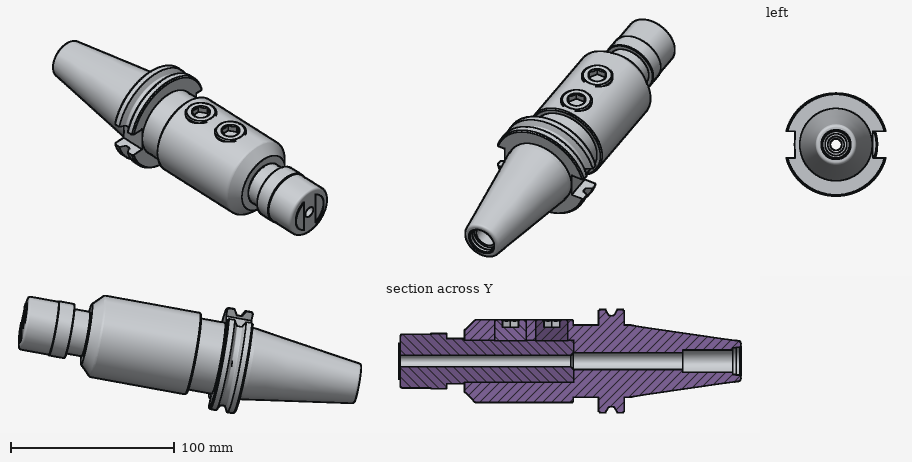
import cadquery as cq
import math


GAUGE_DIAMETER = 44.5
GAUGE_X = 68.2
TAPER_PER_LENGTH = 7 / 24
SMALL_END_DIAMETER = GAUGE_DIAMETER - GAUGE_X * TAPER_PER_LENGTH
SMALL_END_ROUND = 1.9

FLANGE_DIAMETER = 63.4
FLANGE_X = 71.5
FLANGE_WIDTH = 16.0
FLANGE_END_X = FLANGE_X + FLANGE_WIDTH
FLANGE_CHAMFER = 0.8
GROOVE_CENTRE_X = 79.5
GROOVE_DEPTH = 3.5
GROOVE_MOUTH = 7.1
GROOVE_FILLET = 0.6
GROOVE_FLANK_ANGLE = 30
GROOVE_FLOOR = GROOVE_MOUTH - 2 * GROOVE_DEPTH * math.tan(math.radians(GROOVE_FLANK_ANGLE))
SLOT_WIDTH = 16.2
DEEP_SLOT_FLOOR = 22.5
SHALLOW_SLOT_FLOOR = 25.2

BODY_DIAMETER = 51.0
BODY_X = 102.8
BODY_END_X = 169.8
BODY_END_DIAMETER = 37.8
BODY_REAR_CHAMFER = 0.8
BODY_CORNER_ROUND = 1.9
CONE_LENGTH = (BODY_DIAMETER - BODY_END_DIAMETER) / 2
CONE_X = BODY_END_X - CONE_LENGTH

MOUTH_CHAMFER = 0.6
COUNTERBORE_DIAMETER = 17.0
COUNTERBORE_DEPTH = 3.0
PILOT_DIAMETER = 16.4
PILOT_END_X = 5.0
THREAD_BORE_DIAMETER = 13.5
THREAD_BORE_END_X = 35.7
COOLANT_BORE_DIAMETER = 10.0

SHANK_DIAMETER = 25.4
SHANK_X = BODY_X
COLLAR_DIAMETER = 28.0
COLLAR_X = BODY_END_X
COLLAR_CHAMFER = 0.6
HEAD_X = 180.5
HEAD_STEP_X = 190.1
HEAD_END_X = 209.2
HEAD_REAR_DIAMETER = 34.0
HEAD_DIAMETER = 33.2
HEAD_REAR_CHAMFER = 0.5
HEAD_ROUND = 1.7
DRIVE_DIAMETER = 24.3
DRIVE_SLOT_WIDTH = 10.0
TOOL_END_X = 209.8
TOOL_BORE_DIAMETER = 7.0

SCREW_DIAMETER = 19.3
SCREW_TOP_DIAMETER = 17.5
SCREW_TOP_Z = 25.4
SCREW_CHAMFER = (SCREW_DIAMETER - SCREW_TOP_DIAMETER) / 2
SCREW_SPACING = 25.4
FIRST_SCREW_X = 116.0
SCREW_COUNT = 2
HEX_WIDTH = 9.7
HEX_CORNER_DIAMETER = HEX_WIDTH / math.cos(math.radians(30))
HEX_DEPTH = 4.6
HEX_MOUTH_DIAMETER = 11.3

SCREW_POSITIONS = [FIRST_SCREW_X + i * SCREW_SPACING for i in range(SCREW_COUNT)]


def turned(outline):
    """Solid of revolution about X from (x, radius) points, closed along the axis."""
    first_x = outline[0][0]
    last_x = outline[-1][0]
    points = [(first_x, 0)] + outline + [(last_x, 0)]
    return cq.Workplane("XY").polyline(points).close().revolve(360, (0, 0, 0), (1, 0, 0))


def cylinder(start_x, end_x, diameter):
    """Cylinder along the X axis."""
    return turned([(start_x, diameter / 2), (end_x, diameter / 2)])


def round_rims(solid, x, radius):
    """Fillet the circular edges that lie in the plane at x."""
    reach = FLANGE_DIAMETER
    margin = 0.02
    plane_box = cq.selectors.BoxSelector(
        (x - margin, -reach, -reach), (x + margin, reach, reach), boundingbox=True
    )
    return solid.edges(plane_box).fillet(radius)


def make_holder_blank():
    """Taper, necks and clamping body, without flange or holes."""
    gauge_radius = GAUGE_DIAMETER / 2
    body_radius = BODY_DIAMETER / 2
    blank = turned([
        (0, SMALL_END_DIAMETER / 2),
        (GAUGE_X, gauge_radius),
        (BODY_X, gauge_radius),
        (BODY_X, body_radius - BODY_REAR_CHAMFER),
        (BODY_X + BODY_REAR_CHAMFER, body_radius),
        (CONE_X, body_radius),
        (BODY_END_X, BODY_END_DIAMETER / 2),
    ])
    blank = round_rims(blank, 0, SMALL_END_ROUND)
    return round_rims(blank, CONE_X, BODY_CORNER_ROUND)


def make_flange():
    """Flange with a V groove around it and two slots across its rim."""
    radius = FLANGE_DIAMETER / 2
    flange = turned([
        (FLANGE_X, radius - FLANGE_CHAMFER),
        (FLANGE_X + FLANGE_CHAMFER, radius),
        (GROOVE_CENTRE_X - GROOVE_MOUTH / 2, radius),
        (GROOVE_CENTRE_X - GROOVE_FLOOR / 2, radius - GROOVE_DEPTH),
        (GROOVE_CENTRE_X + GROOVE_FLOOR / 2, radius - GROOVE_DEPTH),
        (GROOVE_CENTRE_X + GROOVE_MOUTH / 2, radius),
        (FLANGE_END_X - FLANGE_CHAMFER, radius),
        (FLANGE_END_X, radius - FLANGE_CHAMFER),
    ])
    for floor_edge_x in (GROOVE_CENTRE_X - GROOVE_FLOOR / 2, GROOVE_CENTRE_X + GROOVE_FLOOR / 2):
        flange = round_rims(flange, floor_edge_x, GROOVE_FILLET)
    slot = cq.Workplane("XY").box(FLANGE_WIDTH, radius, SLOT_WIDTH, centered=(False, False, True))
    shallow_slot = slot.translate((FLANGE_X, SHALLOW_SLOT_FLOOR, 0))
    deep_slot = slot.translate((FLANGE_X, -DEEP_SLOT_FLOOR - radius, 0))
    return flange.cut(shallow_slot).cut(deep_slot)


def make_holder_bore():
    """Stepped bore from the small end, opening into the socket for the tool shank."""
    counterbore_radius = COUNTERBORE_DIAMETER / 2
    pilot_radius = PILOT_DIAMETER / 2
    thread_radius = THREAD_BORE_DIAMETER / 2
    coolant_radius = COOLANT_BORE_DIAMETER / 2
    shank_radius = SHANK_DIAMETER / 2
    return turned([
        (0, counterbore_radius + MOUTH_CHAMFER),
        (MOUTH_CHAMFER, counterbore_radius),
        (COUNTERBORE_DEPTH, counterbore_radius),
        (COUNTERBORE_DEPTH, pilot_radius),
        (PILOT_END_X, pilot_radius),
        (PILOT_END_X, thread_radius),
        (THREAD_BORE_END_X, thread_radius),
        (THREAD_BORE_END_X, coolant_radius),
        (SHANK_X, coolant_radius),
        (SHANK_X, shank_radius),
        (BODY_END_X, shank_radius),
    ])


def make_screw_blank():
    """Screw cylinder with a chamfered top, standing on the X axis."""
    return (
        cq.Workplane("XY")
        .circle(SCREW_DIAMETER / 2)
        .extrude(SCREW_TOP_Z)
        .faces(">Z")
        .chamfer(SCREW_CHAMFER)
    )


def make_screw_hole(x):
    """Hole that fits the screw closely and opens through the top of the body."""
    mouth = cq.Workplane("XY").circle(SCREW_TOP_DIAMETER / 2).extrude(BODY_DIAMETER)
    return make_screw_blank().union(mouth).translate((x, 0, 0))


def make_holder():
    """Tool holder: taper, flange and clamping body in one piece."""
    holder = make_holder_blank().union(make_flange()).cut(make_holder_bore())
    for x in SCREW_POSITIONS:
        holder = holder.cut(make_screw_hole(x))
    return holder


def make_tool():
    """Tool with a plain shank, a collar, a stepped head and a slotted drive face."""
    collar_radius = COLLAR_DIAMETER / 2
    rear_radius = HEAD_REAR_DIAMETER / 2
    head_radius = HEAD_DIAMETER / 2
    head_step = rear_radius - head_radius
    tool = turned([
        (SHANK_X, SHANK_DIAMETER / 2),
        (COLLAR_X, SHANK_DIAMETER / 2),
        (COLLAR_X, collar_radius - COLLAR_CHAMFER),
        (COLLAR_X + COLLAR_CHAMFER, collar_radius),
        (HEAD_X, collar_radius),
        (HEAD_X, rear_radius - HEAD_REAR_CHAMFER),
        (HEAD_X + HEAD_REAR_CHAMFER, rear_radius),
        (HEAD_STEP_X, rear_radius),
        (HEAD_STEP_X + head_step, head_radius),
        (HEAD_END_X, head_radius),
    ])
    tool = round_rims(tool, HEAD_END_X, HEAD_ROUND)
    drive_face = cylinder(HEAD_END_X, TOOL_END_X, DRIVE_DIAMETER)
    drive_slot = (
        cq.Workplane("XY")
        .box(TOOL_END_X - HEAD_END_X, DRIVE_SLOT_WIDTH, DRIVE_DIAMETER, centered=(False, True, True))
        .translate((HEAD_END_X, 0, 0))
    )
    bore_radius = TOOL_BORE_DIAMETER / 2
    mouth_radius = COOLANT_BORE_DIAMETER / 2
    bore = turned([
        (SHANK_X, mouth_radius),
        (SHANK_X + mouth_radius - bore_radius, bore_radius),
        (TOOL_END_X, bore_radius),
    ])
    return tool.union(drive_face.cut(drive_slot)).cut(bore)


def make_hex_socket():
    """Hexagon socket with a 45 degree countersink at its mouth."""
    hexagon = (
        cq.Workplane("XY", origin=(0, 0, SCREW_TOP_Z - HEX_DEPTH))
        .transformed(rotate=(0, 0, 30))
        .polygon(6, HEX_CORNER_DIAMETER)
        .extrude(HEX_DEPTH)
    )
    mouth_radius = HEX_MOUTH_DIAMETER / 2
    flat_radius = HEX_WIDTH / 2
    countersink = cq.Solid.makeCone(
        mouth_radius,
        flat_radius,
        mouth_radius - flat_radius,
        pnt=cq.Vector(0, 0, SCREW_TOP_Z),
        dir=cq.Vector(0, 0, -1),
    )
    return hexagon.union(cq.Workplane(countersink))


def make_screw(x):
    """Set screw with a hexagon socket, its lower end shaped to the tool shank."""
    shank = cylinder(SHANK_X, BODY_END_X, SHANK_DIAMETER)
    return make_screw_blank().cut(make_hex_socket()).translate((x, 0, 0)).cut(shank)


holder = make_holder()
tool = make_tool()
screws = [make_screw(x) for x in SCREW_POSITIONS]

result = cq.Compound.makeCompound([holder.val(), tool.val(), *[screw.val() for screw in screws]])